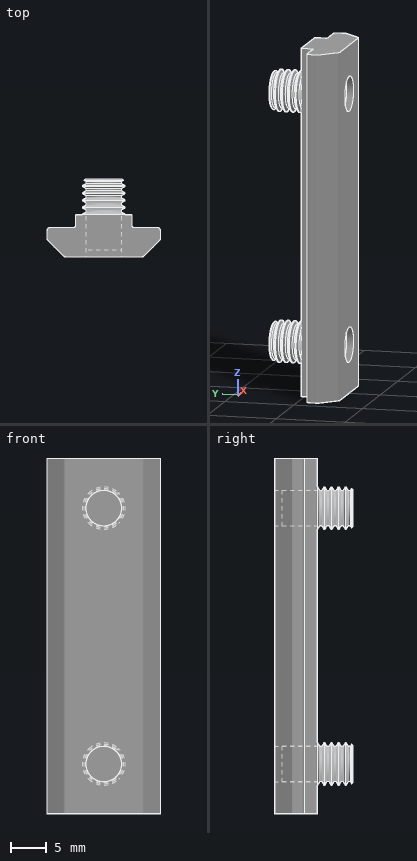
import cadquery as cq
import math

rail_length = 50.0
rail_width = 16.0
rail_height = 6.0
neck_width = 8.0
ledge_height = 4.2
bevel = 2.5
shoulder_radius = 0.5
bottom_edge_radius = 0.5
small_radius = 0.2

screw_end_margin = 7.0
thread_diameter = 6.0
thread_pitch = 1.0
shank_diameter = 5.0
screw_bottom = 1.0
screw_length = 10.0
tip_diameter = 5.2
crest_width = thread_pitch / 8
flank_half_angle = 30.0

screw_top = screw_bottom + screw_length
thread_radius = thread_diameter / 2
shank_radius = shank_diameter / 2
tip_radius = tip_diameter / 2
screw_positions = [screw_end_margin, rail_length - screw_end_margin]


def edges_at(body, x, y):
    """Lengthwise edges of the rail at (+x, y) and (-x, y)."""
    tolerance = 0.01
    return body.edges("|Z").filter(
        lambda edge: abs(abs(edge.Center().x) - x) < tolerance and abs(edge.Center().y - y) < tolerance
    )


def make_rail():
    half_width = rail_width / 2
    half_neck = neck_width / 2
    half_bottom = half_width - bevel
    right_side = [
        (half_bottom, 0),
        (half_width, bevel),
        (half_width, ledge_height),
        (half_neck, ledge_height),
        (half_neck, rail_height),
    ]
    left_side = [(-x, y) for x, y in reversed(right_side)]
    rail = cq.Workplane("XY").polyline(right_side + left_side).close().extrude(rail_length)

    corner_radii = [
        bottom_edge_radius,
        small_radius,
        shoulder_radius,
        small_radius,
        small_radius,
    ]
    for (x, y), radius in zip(right_side, corner_radii):
        rail = edges_at(rail, x, y).fillet(radius)

    for z in screw_positions:
        hole = cq.Workplane("XZ", origin=(0, 0, z)).circle(shank_radius).extrude(-rail_height)
        rail = rail.cut(hole)
    return rail


def make_screw(z):
    """One screw along Y; the thread is a row of ring-shaped ridges."""
    half_crest = crest_width / 2
    flank_slope = math.tan(math.radians(flank_half_angle))
    flank_run = (thread_radius - shank_radius) * flank_slope
    half_base = half_crest + flank_run

    section = [
        (screw_bottom, 0),
        (screw_bottom, shank_radius),
        (rail_height, shank_radius),
        (rail_height, thread_radius),
        (rail_height + half_crest, thread_radius),
        (rail_height + half_base, shank_radius),
    ]
    full_ridges = round((screw_top - rail_height) / thread_pitch) - 1
    for index in range(1, full_ridges + 1):
        ridge = rail_height + index * thread_pitch
        section += [
            (ridge - half_base, shank_radius),
            (ridge - half_crest, thread_radius),
            (ridge + half_crest, thread_radius),
            (ridge + half_base, shank_radius),
        ]

    flank_start = screw_top - half_base
    chamfer_height = (half_base - (tip_radius - shank_radius) * flank_slope) / (1 + flank_slope)
    section += [
        (flank_start, shank_radius),
        (screw_top - chamfer_height, tip_radius + chamfer_height),
        (screw_top, tip_radius),
        (screw_top, 0),
    ]

    profile = cq.Workplane("YZ", origin=(0, 0, z)).polyline(section).close()
    return profile.revolve(360, (0, 0, 0), (1, 0, 0))


rail = make_rail()
screws = [make_screw(z) for z in screw_positions]

result = cq.Compound.makeCompound([rail.val(), *[screw.val() for screw in screws]])